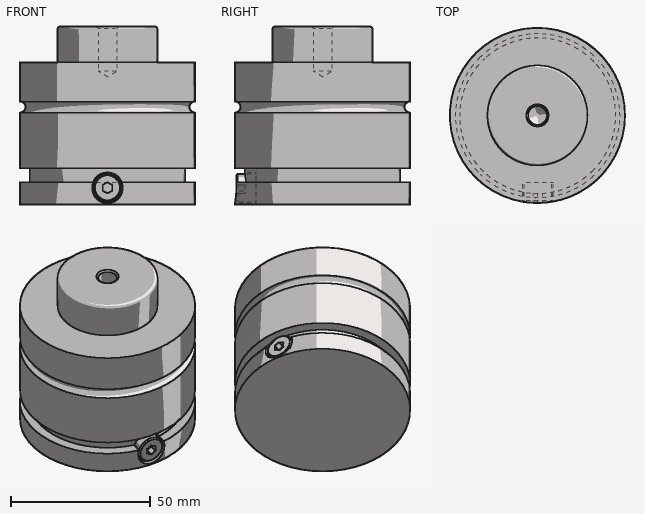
import cadquery as cq
import math

body_diameter = 63.0
total_height = 64.0
shoulder_height = 51.0
boss_diameter = 36.0
boss_edge_radius = 1.0

flange_height = 8.0
neck_diameter = 56.0
neck_top = 13.0

groove_height = 35.0
groove_radius = 2.0

hole_diameter = 6.8
hole_mouth_diameter = 8.0
hole_depth = 16.0
drill_point_angle = 118.0

screw_height = 6.0
screw_diameter = 10.0
screw_chamfer = 0.5
screw_face_radius = 31.0
recess_diameter = 11.0
recess_floor_radius = 24.0
socket_across_flats = 3.5
socket_depth = 3.0


def make_body():
    """Revolve the half profile, with the groove as an arc, about Z."""
    body_radius = body_diameter / 2
    neck_radius = neck_diameter / 2
    boss_radius = boss_diameter / 2
    profile = (
        cq.Workplane("XZ")
        .lineTo(body_radius, 0)
        .lineTo(body_radius, flange_height)
        .lineTo(neck_radius, flange_height)
        .lineTo(neck_radius, neck_top)
        .lineTo(body_radius, neck_top)
        .lineTo(body_radius, groove_height - groove_radius)
        .threePointArc(
            (body_radius - groove_radius, groove_height),
            (body_radius, groove_height + groove_radius),
        )
        .lineTo(body_radius, shoulder_height)
        .lineTo(boss_radius, shoulder_height)
        .lineTo(boss_radius, total_height)
        .lineTo(0, total_height)
        .close()
    )
    body = profile.revolve(360, (0, 0, 0), (0, 1, 0))
    return body.faces(">Z").edges().fillet(boss_edge_radius)


def make_top_hole():
    """Chamfered blind hole with a conical drill point."""
    hole_radius = hole_diameter / 2
    mouth_radius = hole_mouth_diameter / 2
    hole_floor = total_height - hole_depth
    point_depth = hole_radius / math.tan(math.radians(drill_point_angle / 2))
    return (
        cq.Workplane("XZ")
        .moveTo(0, total_height)
        .lineTo(mouth_radius, total_height)
        .lineTo(hole_radius, total_height - (mouth_radius - hole_radius))
        .lineTo(hole_radius, hole_floor)
        .lineTo(0, hole_floor - point_depth)
        .close()
        .revolve(360, (0, 0, 0), (0, 1, 0))
    )


def radial_plane(distance):
    """Workplane facing -Y on the screw axis, at a distance from the body axis."""
    return cq.Workplane("XZ", origin=(0, -distance, screw_height))


def make_recess():
    recess_length = body_diameter / 2 - recess_floor_radius
    return radial_plane(recess_floor_radius).circle(recess_diameter / 2).extrude(recess_length)


def make_screw():
    """Chamfered screw head with a hexagonal socket, points up and down."""
    screw_length = screw_face_radius - recess_floor_radius
    head = radial_plane(recess_floor_radius).circle(screw_diameter / 2).extrude(screw_length)
    head = head.faces("<Y").edges().chamfer(screw_chamfer)
    across_corners = socket_across_flats / math.cos(math.pi / 6)
    socket = (
        radial_plane(screw_face_radius)
        .transformed(rotate=(0, 0, 90))
        .polygon(6, across_corners)
        .extrude(-socket_depth)
    )
    return head.cut(socket)


result = make_body().cut(make_top_hole()).cut(make_recess()).union(make_screw())